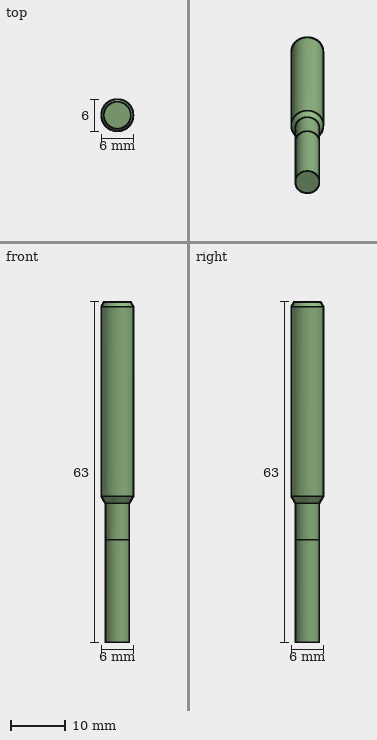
import cadquery as cq
import math

total_length = 63.0
shank_diameter = 6.0
neck_diameter = 4.5
shank_length = 36.0
tip_length = 19.0
end_chamfer_width = 0.5
cone_angle = 30.0

shank_radius = shank_diameter / 2
neck_radius = neck_diameter / 2
cone_slope = math.tan(math.radians(cone_angle))
end_chamfer_height = end_chamfer_width / cone_slope
shoulder_top = total_length - shank_length
shoulder_bottom = shoulder_top - (shank_radius - neck_radius) / cone_slope


def make_holder():
    """Chamfered shank, conical shoulder and neck, turned as one solid about Z."""
    return (
        cq.Workplane("XZ")
        .moveTo(0, tip_length)
        .lineTo(neck_radius, tip_length)
        .lineTo(neck_radius, shoulder_bottom)
        .lineTo(shank_radius, shoulder_top)
        .lineTo(shank_radius, total_length - end_chamfer_height)
        .lineTo(shank_radius - end_chamfer_width, total_length)
        .lineTo(0, total_length)
        .close()
        .revolve(360, (0, 0, 0), (0, 1, 0))
    )


def make_tip():
    """Plain cylindrical tip that meets the lower end of the neck."""
    return cq.Workplane("XY").circle(neck_radius).extrude(tip_length)


holder = make_holder()
tip = make_tip()

result = cq.Compound.makeCompound([holder.val(), tip.val()])